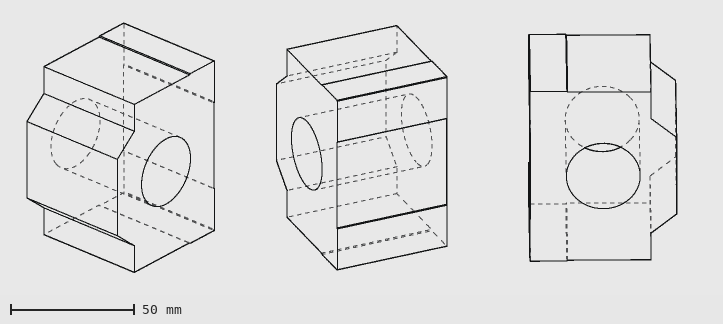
import cadquery as cq

width = 48.9
depth = 59.5
height = 78.0
back_y = depth / 2
front_y = -depth / 2

band_depth = 15.0
band_step = 0.4
step_run = 0.4
corner_chamfer = 0.3
relief_height = 39.9
relief_depth = 0.3

nose_depth = 10.4
nose_root_height = 52.6
nose_tip_height = 35.1

bore_diameter = 29.95
bore_center_y = 0.0

half_height = height / 2
shoulder_y = front_y + nose_depth
step_y = back_y - band_depth
body_half_height = half_height - band_step

upper_profile = [
    (back_y - relief_depth, relief_height / 2 - relief_depth),
    (back_y, relief_height / 2),
    (back_y, half_height - corner_chamfer),
    (back_y - corner_chamfer, half_height),
    (step_y, half_height),
    (step_y - step_run, body_half_height),
    (shoulder_y, body_half_height),
    (shoulder_y, nose_root_height / 2),
    (front_y, nose_tip_height / 2),
]
lower_profile = [(y, -z) for y, z in reversed(upper_profile)]

body = (
    cq.Workplane("YZ")
    .polyline(upper_profile + lower_profile)
    .close()
    .extrude(width / 2, both=True)
)

bore = (
    cq.Workplane("YZ")
    .center(bore_center_y, 0)
    .circle(bore_diameter / 2)
    .extrude(width / 2, both=True)
)

result = body.cut(bore)